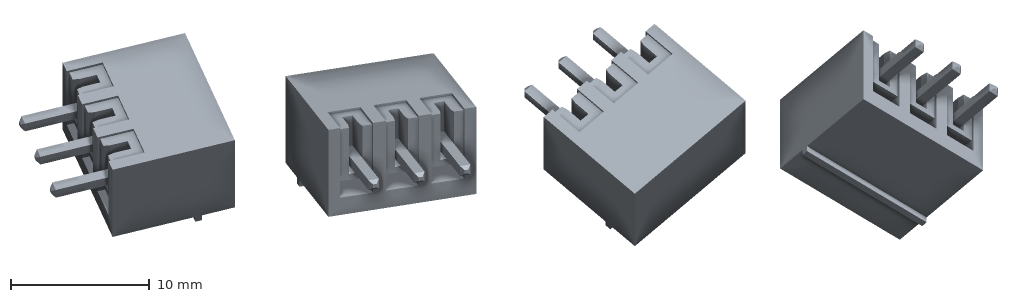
import cadquery as cq

body_width = 11.3
body_height = 7.0
pin_reach = 3.99
overall_depth = 13.3
body_depth = overall_depth - pin_reach

rib_size = 0.5
rib_setback = 2.5

pin_count = 3
pitch = 3.5
pocket_width = 2.5
pocket_depth = 2.74
pocket_height = 5.6

insert_recess = 0.2
insert_bottom_drop = 4.39

pin_size = 0.8
pin_drop = 3.0
tip_length = 0.27
tip_size = 0.29

slot_depth = 2.01
slot_mouth_width = 1.01
flare_length = 0.5

pin_axis_z = body_height - pin_drop
slot_floor_z = pin_axis_z - pin_size / 2


def make_block(width, y_min, y_max, z_min, z_max):
    """Box centred on x = 0 between the given y and z limits."""
    size = (width, y_max - y_min, z_max - z_min)
    return cq.Workplane("XY").box(*size, centered=(True, False, False)).translate((0, y_min, z_min))


def make_housing():
    block = make_block(body_width, 0, body_depth, 0, body_height)
    rib_back = body_depth - rib_setback
    rib = make_block(body_width, rib_back - rib_size, rib_back, -rib_size, 0)
    return block.union(rib)


def make_pocket():
    return make_block(pocket_width, 0, pocket_depth, body_height - pocket_height, body_height)


def make_slot():
    """Straight slot, plus a mouth that widens and ramps down to the front of the insert."""
    straight = make_block(pin_size, insert_recess, slot_depth, slot_floor_z, body_height)
    flare_start = insert_recess + flare_length
    flare = (
        cq.Workplane("XY")
        .polyline([
            (-slot_mouth_width / 2, insert_recess),
            (slot_mouth_width / 2, insert_recess),
            (pin_size / 2, flare_start),
            (-pin_size / 2, flare_start),
        ])
        .close()
        .extrude(body_height)
    )
    ramp = (
        cq.Workplane("YZ")
        .polyline([
            (insert_recess, slot_floor_z - flare_length),
            (flare_start, slot_floor_z),
            (flare_start, body_height),
            (insert_recess, body_height),
        ])
        .close()
        .extrude(slot_mouth_width / 2, both=True)
    )
    return straight.union(flare.intersect(ramp))


def make_insert():
    block = make_block(
        pocket_width,
        insert_recess,
        pocket_depth,
        body_height - insert_bottom_drop,
        body_height - insert_recess,
    )
    return block.cut(make_slot())


def make_pin():
    """Pin from the back of the slot out past the front face."""
    shank_end = tip_length - pin_reach
    shank = make_block(pin_size, shank_end, slot_depth, slot_floor_z, slot_floor_z + pin_size)
    tip = (
        cq.Workplane("XZ", origin=(0, shank_end, pin_axis_z))
        .rect(pin_size, pin_size)
        .workplane(offset=tip_length)
        .rect(tip_size, tip_size)
        .loft()
    )
    return shank.union(tip)


result = make_housing()
pocket = make_pocket()
contact = make_insert().union(make_pin())
for index in range(pin_count):
    station = ((index - (pin_count - 1) / 2) * pitch, 0, 0)
    result = result.cut(pocket.translate(station)).union(contact.translate(station))